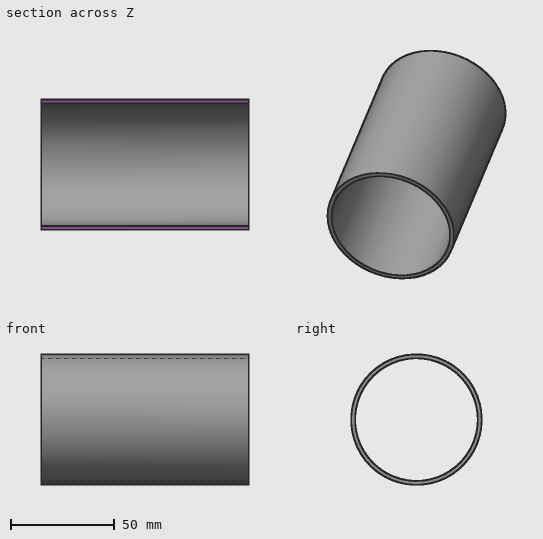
import cadquery as cq

tube_length = 100.0
outer_diameter = 63.0
wall_thickness = 2.0

inner_diameter = outer_diameter - 2 * wall_thickness

result = (
    cq.Workplane("YZ", origin=(-tube_length / 2, 0, 0))
    .circle(outer_diameter / 2)
    .circle(inner_diameter / 2)
    .extrude(tube_length)
)